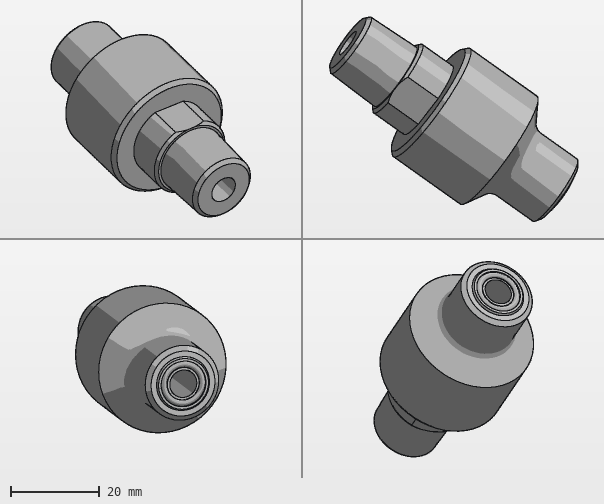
import cadquery as cq
import math

TOTAL_LENGTH = 59.85
NOSE_FACE_X = 0.7
BODY_START_X = 17.4
BODY_END_X = 37.25
COLLAR_END_X = 46.45

BORE_RADIUS = 6.35 / 2
NOSE_RADIUS = 17.3 / 2
BODY_RADIUS = 30.0 / 2
COLLAR_RADIUS = 9.5
SPIGOT_BASE_RADIUS = 8.2

NOSE_CHAMFER_LENGTH = 0.85
NOSE_CHAMFER_HEIGHT = 1.15
RIM_FACE_X = 0.3
BORE_LAND_X = 0.5
RIM_BASE_RADIUS = 6.2
RIM_FACE_RADIUS = 5.85
RING_INNER_RADIUS = 3.8
RING_OUTER_RADIUS = 5.25

SHOULDER_ANGLE = math.radians(58)
SHOULDER_FILLET = 3.25

BODY_CHAMFER = 0.95
COLLAR_CHAMFER = 0.7
FLAT_DISTANCE = 8.75
SPIGOT_TAPER = 1 / 32
SPIGOT_CHAMFER = 0.9


def make_turned_body():
    """Revolve the stepped outline, bore included, about the X axis."""
    ring_section_radius = (RING_OUTER_RADIUS - RING_INNER_RADIUS) / 2
    ring_centre_radius = (RING_OUTER_RADIUS + RING_INNER_RADIUS) / 2

    fillet_end_radius = NOSE_RADIUS + SHOULDER_FILLET * (1 - math.cos(SHOULDER_ANGLE))
    fillet_end_x = BODY_START_X - (BODY_RADIUS - fillet_end_radius) / math.tan(SHOULDER_ANGLE)
    fillet_start_x = fillet_end_x - SHOULDER_FILLET * math.sin(SHOULDER_ANGLE)
    fillet_middle = (
        fillet_start_x + SHOULDER_FILLET * math.sin(SHOULDER_ANGLE / 2),
        NOSE_RADIUS + SHOULDER_FILLET * (1 - math.cos(SHOULDER_ANGLE / 2)),
    )

    spigot_chamfer_x = TOTAL_LENGTH - SPIGOT_CHAMFER
    spigot_tip_radius = SPIGOT_BASE_RADIUS - SPIGOT_TAPER * (spigot_chamfer_x - COLLAR_END_X)

    outline = (
        cq.Workplane("XY")
        .moveTo(BORE_LAND_X, BORE_RADIUS)
        .lineTo(BORE_LAND_X, RING_INNER_RADIUS)
        .lineTo(ring_section_radius, RING_INNER_RADIUS)
        .threePointArc((0, ring_centre_radius), (ring_section_radius, RING_OUTER_RADIUS))
        .lineTo(RIM_FACE_X, RING_OUTER_RADIUS)
        .lineTo(RIM_FACE_X, RIM_FACE_RADIUS)
        .lineTo(NOSE_FACE_X, RIM_BASE_RADIUS)
        .lineTo(NOSE_FACE_X, NOSE_RADIUS - NOSE_CHAMFER_HEIGHT)
        .lineTo(NOSE_FACE_X + NOSE_CHAMFER_LENGTH, NOSE_RADIUS)
        .lineTo(fillet_start_x, NOSE_RADIUS)
        .threePointArc(fillet_middle, (fillet_end_x, fillet_end_radius))
        .lineTo(BODY_START_X, BODY_RADIUS)
        .lineTo(BODY_END_X - BODY_CHAMFER, BODY_RADIUS)
        .lineTo(BODY_END_X, BODY_RADIUS - BODY_CHAMFER)
        .lineTo(BODY_END_X, COLLAR_RADIUS)
        .lineTo(COLLAR_END_X - COLLAR_CHAMFER, COLLAR_RADIUS)
        .lineTo(COLLAR_END_X, COLLAR_RADIUS - COLLAR_CHAMFER)
        .lineTo(COLLAR_END_X, SPIGOT_BASE_RADIUS)
        .lineTo(spigot_chamfer_x, spigot_tip_radius)
        .lineTo(TOTAL_LENGTH, spigot_tip_radius - SPIGOT_CHAMFER)
        .lineTo(TOTAL_LENGTH, BORE_RADIUS)
        .close()
    )
    return outline.revolve(360, (0, 0, 0), (1, 0, 0))


def make_flat_cutter(side):
    """Block that trims the collar to a wrench flat above (+1) or below (-1)."""
    depth = COLLAR_RADIUS - FLAT_DISTANCE
    return cq.Workplane("XY").box(
        COLLAR_END_X - BODY_END_X, 2 * COLLAR_RADIUS, depth
    ).translate(((BODY_END_X + COLLAR_END_X) / 2, 0, side * (FLAT_DISTANCE + depth / 2)))


result = make_turned_body()
for flat_side in (1, -1):
    result = result.cut(make_flat_cutter(flat_side))